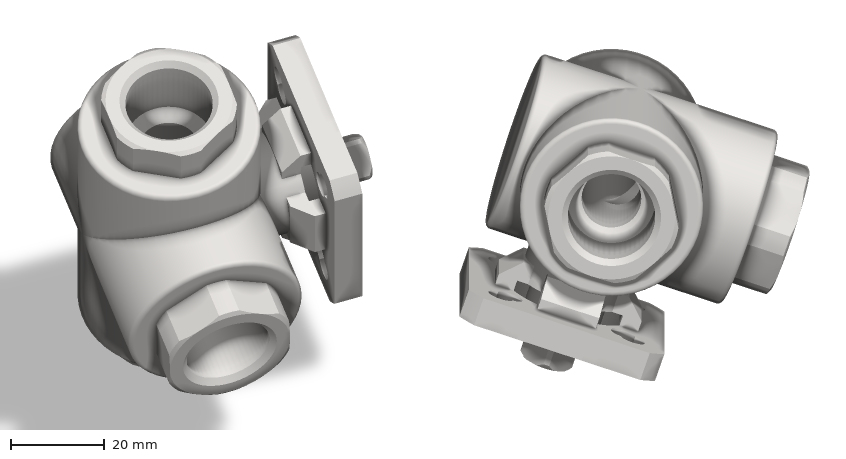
import cadquery as cq
import math


body_diameter = 39.0
body_half_height = 31.4
body_right_reach = 31.0
body_left_reach = 22.0
body_edge_radius = 1.0

port_reach = 40.0
port_angles = (0, 90, 180)
hex_sides = 6
hex_across_flats = 27.0
hex_corner_diameter = 29.0
hex_chamfer_height = 0.6

passage_diameter = 12.7
thread_diameter = 18.6
thread_depth = 15.2
drill_point_angle = 118.0
mouth_diameter = 21.1
mouth_chamfer = (mouth_diameter - thread_diameter) / 2

neck_diameter = 23.0
neck_top = 27.4
collar_diameter = 17.0
stem_top = 44.2
stem_across_flats = 9.0
stem_corner_diameter = 11.6
stem_chamfer = 1.0

flange_bottom = 29.8
flange_top = 36.0
flange_width = 44.0
flange_corner_diameter = 57.8
flange_bore_diameter = 27.0
bolt_circle_diameters = (36.0, 42.0)
bolt_hole_diameter = 5.5
bolt_count = 4
diagonal_angle = 45

leg_count = 4
leg_width = 13.1
leg_outer_reach = 16.1
leg_inner_reach = 11.9
leg_bottom = 23.2


def lateral(offset):
    """Workplane facing +Y at the given height; its second axis points to -Z."""
    return cq.Workplane("XZ", origin=(0, offset, 0)).transformed(rotate=(180, 0, 0))


def post(diameter, start, end):
    """Round post along Y."""
    return lateral(start).circle(diameter / 2).extrude(end - start)


def make_body():
    """Cross of two cylinders with rounded rims."""
    vertical = (
        cq.Workplane("XY", origin=(0, 0, -body_half_height))
        .circle(body_diameter / 2)
        .extrude(2 * body_half_height)
        .edges()
        .fillet(body_edge_radius)
    )
    horizontal = (
        cq.Workplane("YZ", origin=(-body_left_reach, 0, 0))
        .circle(body_diameter / 2)
        .extrude(body_left_reach + body_right_reach)
        .edges()
        .fillet(body_edge_radius)
    )
    return vertical.union(horizontal)


def make_hex_end():
    """Upward port end: a hexagon with flats on +Y and -Y, rounded corners and a chamfered rim."""
    hexagon = (
        cq.Workplane("XY")
        .polygon(hex_sides, hex_across_flats, circumscribed=True)
        .extrude(port_reach)
        .rotate((0, 0, 0), (0, 0, 1), 180 / hex_sides)
    )
    corner_radius = hex_corner_diameter / 2
    envelope = (
        cq.Workplane("XZ")
        .moveTo(0, 0)
        .lineTo(corner_radius, 0)
        .lineTo(corner_radius, port_reach - hex_chamfer_height)
        .lineTo(hex_across_flats / 2, port_reach)
        .lineTo(0, port_reach)
        .close()
        .revolve(360, (0, 0, 0), (0, 1, 0))
    )
    return hexagon.intersect(envelope)


def make_port_bore():
    """Upward bore: chamfered mouth, thread hole with conical bottom, then the flow passage."""
    passage_radius = passage_diameter / 2
    thread_radius = thread_diameter / 2
    thread_bottom = port_reach - thread_depth
    cone_height = (thread_radius - passage_radius) / math.tan(math.radians(drill_point_angle / 2))
    return (
        cq.Workplane("XZ")
        .moveTo(0, 0)
        .lineTo(passage_radius, 0)
        .lineTo(passage_radius, thread_bottom - cone_height)
        .lineTo(thread_radius, thread_bottom)
        .lineTo(thread_radius, port_reach - mouth_chamfer)
        .lineTo(mouth_diameter / 2, port_reach)
        .lineTo(0, port_reach)
        .close()
        .revolve(360, (0, 0, 0), (0, 1, 0))
    )


def at_ports(shape):
    """Copies of an upward shape, turned to the +Z, +X and -Z ports."""
    return [shape.rotate((0, 0, 0), (0, 1, 0), angle) for angle in port_angles]


def make_stem():
    """Square drive with its corners on the X and Z directions, turned round and chamfered."""
    square = (
        lateral(flange_bottom)
        .transformed(rotate=(0, 0, diagonal_angle))
        .rect(stem_across_flats, stem_across_flats)
        .extrude(stem_top - flange_bottom)
    )
    envelope = post(stem_corner_diameter, flange_bottom, stem_top).faces(">Y").chamfer(stem_chamfer)
    return square.intersect(envelope)


def make_flange():
    """Square plate with rounded corners, clear of the collar, with paired overlapping bolt holes."""
    thickness = flange_top - flange_bottom
    plate = lateral(flange_bottom).rect(flange_width, flange_width).extrude(thickness)
    plate = plate.intersect(post(flange_corner_diameter, flange_bottom, flange_top))
    plate = plate.cut(post(flange_bore_diameter, flange_bottom, flange_top))
    for circle_diameter in bolt_circle_diameters:
        holes = (
            lateral(flange_bottom)
            .polarArray(circle_diameter / 2, diagonal_angle, 360, bolt_count)
            .circle(bolt_hole_diameter / 2)
            .extrude(thickness)
        )
        plate = plate.cut(holes)
    return plate


def make_leg():
    """Leg on +X: rises from the neck, slopes outward and meets the flange."""
    slope_top = leg_bottom + leg_outer_reach - leg_inner_reach
    return (
        cq.Workplane("XY", origin=(0, 0, -leg_width / 2))
        .moveTo(0, leg_bottom)
        .lineTo(leg_inner_reach, leg_bottom)
        .lineTo(leg_outer_reach, slope_top)
        .lineTo(leg_outer_reach, flange_bottom)
        .lineTo(leg_inner_reach, flange_bottom)
        .lineTo(leg_inner_reach, neck_top)
        .lineTo(0, neck_top)
        .close()
        .extrude(leg_width)
    )


valve = make_body()
for hex_end in at_ports(make_hex_end()):
    valve = valve.union(hex_end)

valve = valve.union(post(neck_diameter, 0, neck_top))
valve = valve.union(post(collar_diameter, 0, flange_top))
for index in range(leg_count):
    leg = make_leg().rotate((0, 0, 0), (0, 1, 0), index * 360 / leg_count)
    valve = valve.union(leg)
valve = valve.union(make_flange()).union(make_stem())

for bore in at_ports(make_port_bore()):
    valve = valve.cut(bore)

result = valve